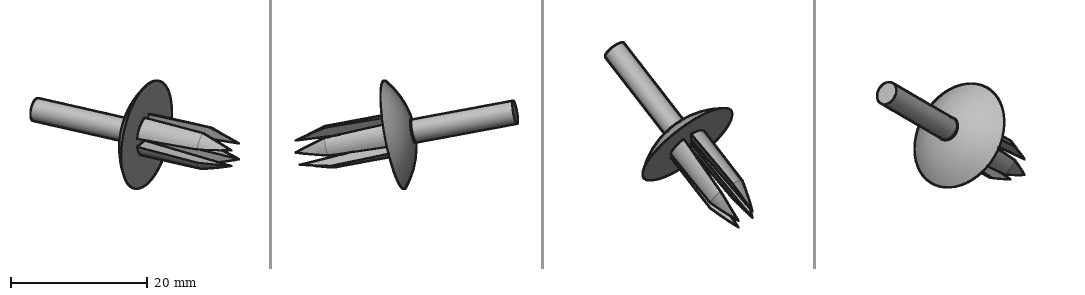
import cadquery as cq
import math

length = 32.93
head_diameter = 16.25
pin_diameter = 3.5
shank_diameter = 6.25

head_front = 15.28
head_back = 18.3
cone_start = 28.12

collar_diameter = 3.6
collar_length = 0.15

slot_width_at_head = 1.32
slot_width_at_tip = 2.55

head_radius = head_diameter / 2
pin_radius = pin_diameter / 2
collar_radius = collar_diameter / 2
dome_start = head_front + collar_length
shank_radius = shank_diameter / 2

tip_radius = slot_width_at_tip / 2 * math.sqrt(2)


def dome_midpoint():
    """Point halfway along the dome's arc, for a sphere centred on the X axis."""
    centre = (head_back**2 + head_radius**2 - dome_start**2 - collar_radius**2) / (
        2 * (head_back - dome_start)
    )
    sphere_radius = math.hypot(centre - dome_start, collar_radius)
    start_angle = math.atan2(collar_radius, centre - dome_start)
    end_angle = math.atan2(head_radius, centre - head_back)
    angle = (start_angle + end_angle) / 2
    return centre - sphere_radius * math.cos(angle), sphere_radius * math.sin(angle)


def make_body():
    """Pin, collar, domed head and pointed shank, turned about the X axis."""
    profile = (
        cq.Workplane("XY")
        .lineTo(0, pin_radius)
        .lineTo(head_front, pin_radius)
        .lineTo(head_front, collar_radius)
        .lineTo(dome_start, collar_radius)
        .threePointArc(dome_midpoint(), (head_back, head_radius))
        .lineTo(head_back, shank_radius)
        .lineTo(cone_start, shank_radius)
        .lineTo(length, tip_radius)
        .lineTo(length, 0)
        .close()
    )
    return profile.revolve(360, (0, 0, 0), (1, 0, 0))


def make_slot():
    """Tapered slot that runs through the shank along Z, from the head to the tip."""
    outline = [
        (head_back, -slot_width_at_head / 2),
        (length, -slot_width_at_tip / 2),
        (length, slot_width_at_tip / 2),
        (head_back, slot_width_at_head / 2),
    ]
    return cq.Workplane("XY").polyline(outline).close().extrude(shank_radius, both=True)


result = make_body()
for slot_angle in (0, 90):
    result = result.cut(make_slot().rotate((0, 0, 0), (1, 0, 0), slot_angle))